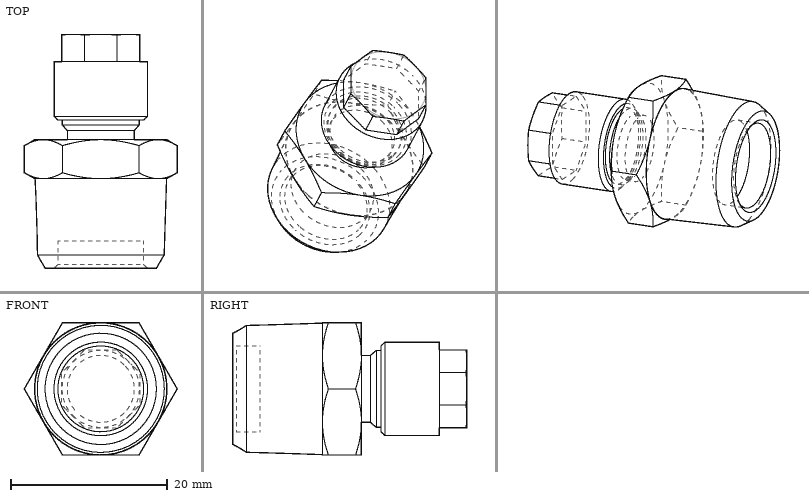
import cadquery as cq
import math


connection_length = 11.5
connection_root_diameter = 16.9
taper_ratio = 1 / 16
lead_chamfer_length = 1.75
lead_chamfer_angle = 30

hex_sides = 6
hex_across_flats = 17.0
hex_length = 5.0
hex_bevel_angle = 30

neck_diameter = 8.6
neck_length = 1.15
shoulder_diameter = 9.9
flare_length = 0.75

sleeve_diameter = 12.0
sleeve_chamfer = 0.5
sleeve_start = 19.0
sleeve_end = 26.5

octagon_sides = 8
octagon_across_flats = 10.0
octagon_bevel_angle = 15
overall_length = 30.0

bore_diameter = 11.0
bore_depth = 3.5
bore_chamfer = 0.5

hex_end = connection_length + hex_length
neck_end = hex_end + neck_length
flare_end = neck_end + flare_length


def revolve_profile(points):
    """Revolve a closed (radius, y) outline about the Y axis."""
    return cq.Workplane("XY").polyline(points).close().revolve(360, (0, 0, 0), (0, 1, 0))


def corner_radius_of(sides, across_flats):
    """Centre-to-corner distance of a regular polygon."""
    return across_flats / 2 / math.cos(math.pi / sides)


def prism(sides, across_flats, start, end, turn):
    """Regular prism along Y, turned about its axis by the given angle."""
    corner_diameter = 2 * corner_radius_of(sides, across_flats)
    body = (
        cq.Workplane("XZ", origin=(0, end, 0))
        .polygon(sides, corner_diameter)
        .extrude(end - start)
    )
    return body.rotate((0, 0, 0), (0, 1, 0), turn)


def tapered_connection():
    taper_end_radius = (
        connection_root_diameter - taper_ratio * (connection_length - lead_chamfer_length)
    ) / 2
    tip_radius = taper_end_radius - lead_chamfer_length * math.tan(math.radians(lead_chamfer_angle))
    return revolve_profile([
        (0, 0),
        (tip_radius, 0),
        (taper_end_radius, lead_chamfer_length),
        (connection_root_diameter / 2, connection_length),
        (0, connection_length),
    ])


def hex_collar():
    """Hexagon with flats facing +Z and -Z, its corners bevelled at both ends."""
    flat_radius = hex_across_flats / 2
    corner_radius = corner_radius_of(hex_sides, hex_across_flats)
    bevel_length = (corner_radius - flat_radius) * math.tan(math.radians(hex_bevel_angle))
    bevel_envelope = revolve_profile([
        (0, connection_length),
        (flat_radius, connection_length),
        (corner_radius, connection_length + bevel_length),
        (corner_radius, hex_end - bevel_length),
        (flat_radius, hex_end),
        (0, hex_end),
    ])
    hexagon = prism(hex_sides, hex_across_flats, connection_length, hex_end, 0)
    return hexagon.intersect(bevel_envelope)


def neck_and_sleeve():
    neck_radius = neck_diameter / 2
    shoulder_radius = shoulder_diameter / 2
    sleeve_radius = sleeve_diameter / 2
    return revolve_profile([
        (0, hex_end),
        (neck_radius, hex_end),
        (neck_radius, neck_end),
        (shoulder_radius, flare_end),
        (shoulder_radius, sleeve_start),
        (sleeve_radius - sleeve_chamfer, sleeve_start),
        (sleeve_radius, sleeve_start + sleeve_chamfer),
        (sleeve_radius, sleeve_end),
        (0, sleeve_end),
    ])


def octagon_end():
    """Octagon with flats facing the X and Z axes, its corners bevelled at the outer end."""
    flat_radius = octagon_across_flats / 2
    corner_radius = corner_radius_of(octagon_sides, octagon_across_flats)
    bevel_length = (corner_radius - flat_radius) * math.tan(math.radians(octagon_bevel_angle))
    bevel_envelope = revolve_profile([
        (0, sleeve_end),
        (corner_radius, sleeve_end),
        (corner_radius, overall_length - bevel_length),
        (flat_radius, overall_length),
        (0, overall_length),
    ])
    half_side_angle = 180 / octagon_sides
    octagon = prism(octagon_sides, octagon_across_flats, sleeve_end, overall_length, half_side_angle)
    return octagon.intersect(bevel_envelope)


def bore():
    bore_radius = bore_diameter / 2
    return revolve_profile([
        (0, 0),
        (bore_radius + bore_chamfer, 0),
        (bore_radius, bore_chamfer),
        (bore_radius, bore_depth),
        (0, bore_depth),
    ])


result = (
    tapered_connection()
    .union(hex_collar())
    .union(neck_and_sleeve())
    .union(octagon_end())
    .cut(bore())
)